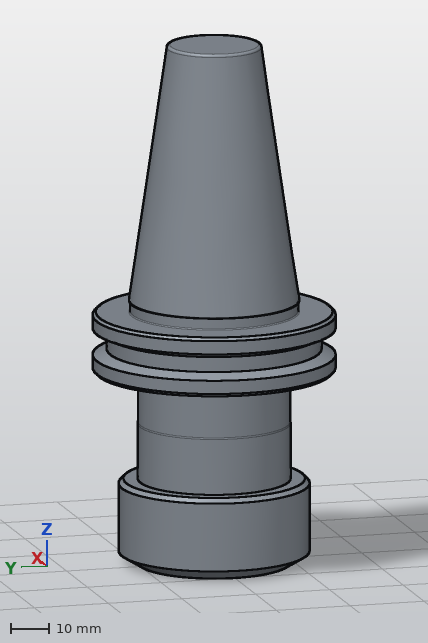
import cadquery as cq

total_height = 138.4
gauge_height = 70.0
gauge_radius = 22.3
taper_slope = 7 / 48

shank_end_radius = gauge_radius - taper_slope * (total_height - gauge_height)
shank_end_fillet = 0.8
gauge_land_height = 0.3
neck_radius = 22.0
neck_fillet = 0.3

flange_radius = 63.5 / 2
flange_bottom = 51.2
flange_top = 67.0
flange_chamfer = 0.8
groove_radius = 28.1
groove_middle = 59.1
groove_floor_width = 4.0
groove_mouth_width = 7.0

body_radius = 40.0 / 2
body_fillet = 1.7
relief_bottom = 37.2
relief_depth = 0.07
relief_radius = body_radius - relief_depth
relief_chamfer_height = 0.4

nut_radius = 50.0 / 2
nut_height = 22.4
nut_top_chamfer = 1.2
nut_bottom_radius = 19.9
nut_bottom_chamfer_height = 3.0


def revolve_profile(points):
    """Revolve a closed outline of (radius, height) points about the Z axis."""
    return cq.Workplane("XZ").polyline(points).close().revolve(360, (0, 0), (0, 1))


def make_shank():
    shank = revolve_profile([
        (0, gauge_height),
        (gauge_radius, gauge_height),
        (gauge_radius, gauge_height + gauge_land_height),
        (shank_end_radius, total_height),
        (0, total_height),
    ])
    shank = shank.faces(">Z").edges().fillet(shank_end_fillet)
    fillet_reach = neck_fillet * (1 - 0.5 ** 0.5)
    neck = (
        cq.Workplane("XZ")
        .moveTo(0, flange_top)
        .lineTo(neck_radius + neck_fillet, flange_top)
        .threePointArc(
            (neck_radius + fillet_reach, flange_top + fillet_reach),
            (neck_radius, flange_top + neck_fillet),
        )
        .lineTo(neck_radius, gauge_height)
        .lineTo(0, gauge_height)
        .close()
        .revolve(360, (0, 0), (0, 1))
    )
    return shank.union(neck)


def make_flange():
    flange = (
        cq.Workplane("XY", origin=(0, 0, flange_bottom))
        .circle(flange_radius)
        .extrude(flange_top - flange_bottom)
        .edges()
        .chamfer(flange_chamfer)
    )
    groove = revolve_profile([
        (groove_radius, groove_middle - groove_floor_width / 2),
        (flange_radius, groove_middle - groove_mouth_width / 2),
        (flange_radius, groove_middle + groove_mouth_width / 2),
        (groove_radius, groove_middle + groove_floor_width / 2),
    ])
    return flange.cut(groove)


def make_body():
    fillet_reach = body_fillet * (1 - 0.5 ** 0.5)
    return (
        cq.Workplane("XZ")
        .moveTo(0, 0)
        .lineTo(body_radius, 0)
        .lineTo(body_radius, relief_bottom)
        .lineTo(relief_radius, relief_bottom + relief_chamfer_height)
        .lineTo(relief_radius, flange_bottom - body_fillet)
        .threePointArc(
            (relief_radius + fillet_reach, flange_bottom - fillet_reach),
            (relief_radius + body_fillet, flange_bottom),
        )
        .lineTo(0, flange_bottom)
        .close()
        .revolve(360, (0, 0), (0, 1))
    )


def make_nut():
    return revolve_profile([
        (0, 0),
        (nut_bottom_radius, 0),
        (nut_radius, nut_bottom_chamfer_height),
        (nut_radius, nut_height - nut_top_chamfer),
        (nut_radius - nut_top_chamfer, nut_height),
        (0, nut_height),
    ])


result = make_nut().union(make_body()).union(make_flange()).union(make_shank())